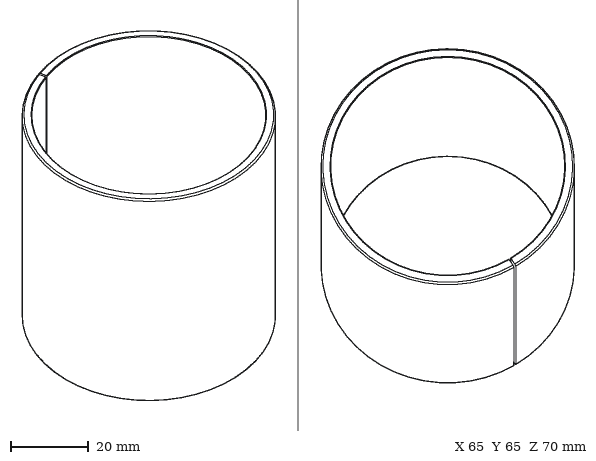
import cadquery as cq

height = 70.0
outer_diameter = 65.0
wall = 2.5
outer_chamfer = 0.5
inner_chamfer = 0.2
slit_angle = 1.0

outer_radius = outer_diameter / 2
inner_radius = outer_radius - wall

wall_section = [
    (-inner_radius, inner_chamfer),
    (-inner_radius - inner_chamfer, 0),
    (-outer_radius + outer_chamfer, 0),
    (-outer_radius, outer_chamfer),
    (-outer_radius, height - outer_chamfer),
    (-outer_radius + outer_chamfer, height),
    (-inner_radius - inner_chamfer, height),
    (-inner_radius, height - inner_chamfer),
]

result = (
    cq.Workplane("XZ")
    .polyline(wall_section)
    .close()
    .revolve(360 - slit_angle, (0, 0, 0), (0, 1, 0))
)